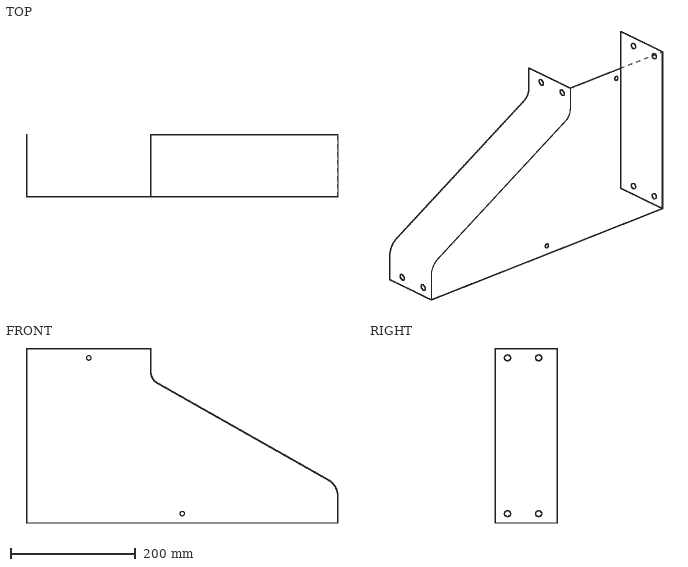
import cadquery as cq
import math

length = 500.0
depth = 100.0
height = 280.0
sheet = 1.0

top_length = 200.0
upper_corner_z = 230.8
lower_corner_z = 60.8
upper_bend_radius = 20.0
lower_bend_radius = 30.0

web_hole_diameter = 7.0
slot_length = 10.5
slot_width = 8.5
slot_tilt = 35.0
edge_distance = 15.0
first_slot_y = 20.0
slot_spacing = 50.0

low_z = edge_distance
high_z = height - edge_distance


def make_profile():
    """Full-depth block bounded by the outer faces of the bracket."""
    run = length - top_length
    drop = upper_corner_z - lower_corner_z
    slope_angle = math.atan2(drop, run)
    half_turn = (math.pi / 2 - slope_angle) / 2
    along_x = math.cos(slope_angle)
    along_z = math.sin(slope_angle)

    lower_cut = lower_bend_radius * math.tan(half_turn)
    upper_cut = upper_bend_radius * math.tan(half_turn)

    lower_start = (length, lower_corner_z - lower_cut)
    lower_end = (length - lower_cut * along_x, lower_corner_z + lower_cut * along_z)
    upper_start = (top_length + upper_cut * along_x, upper_corner_z - upper_cut * along_z)
    upper_end = (top_length, upper_corner_z + upper_cut)
    return (
        cq.Workplane("XZ")
        .moveTo(length, 0)
        .lineTo(*lower_start)
        .tangentArcPoint(lower_end, relative=False)
        .lineTo(*upper_start)
        .tangentArcPoint(upper_end, relative=False)
        .lineTo(top_length, height)
        .lineTo(0, height)
        .lineTo(0, 0)
        .close()
        .extrude(-depth)
    )


def make_shell():
    """Web, back wall and bent front wall; open at the top, bottom and far side."""
    return make_profile().faces("+Z or -Z or >Y").shell(-sheet)


def wall_slots(outer_x, z, tilt):
    """Pair of tilted slot cutters along X, through the wall whose outer face is at outer_x."""
    centres = [(first_slot_y, z), (first_slot_y + slot_spacing, z)]
    return (
        cq.Workplane("YZ", origin=(outer_x, 0, 0))
        .pushPoints(centres)
        .slot2D(slot_length, slot_width, tilt)
        .extrude(2 * sheet, both=True)
    )


def web_hole(x, z):
    """Round hole cutter along Y through the web."""
    return (
        cq.Workplane("XZ")
        .center(x, z)
        .circle(web_hole_diameter / 2)
        .extrude(2 * sheet, both=True)
    )


cutters = [
    wall_slots(0, low_z, -slot_tilt),
    wall_slots(0, high_z, -slot_tilt),
    wall_slots(length, low_z, slot_tilt),
    wall_slots(top_length, high_z, slot_tilt),
    web_hole(top_length / 2, high_z),
    web_hole(length / 2, low_z),
]

result = make_shell()
for cutter in cutters:
    result = result.cut(cutter)